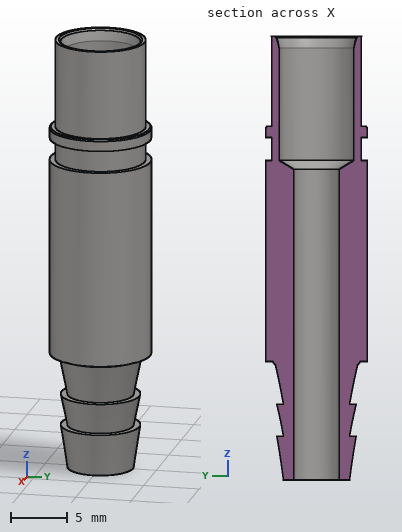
import cadquery as cq
import math

length = 39.05
body_radius = 4.5
stem_radius = 4.0

barb_tops = [3.85, 6.68]
neck_top = 10.1
body_bottom = 10.43
body_top = 28.1
collar_bottom = 30.1
collar_top = 31.12
collar_chamfer = 0.1

barb_root_radius = 2.93
barb_tip_radius = 3.5
neck_radius = 3.65
neck_flare_radius = 3.9

through_radius = 2.0
socket_radius = 3.28
mouth_top_radius = 3.5
mouth_depth = 1.0
rim_chamfer = 0.15
socket_floor = body_top
floor_cone_angle = 118.0


def barb_points():
    """Radius and height pairs of the barbs, from the hose end upward."""
    points = [(barb_root_radius, 0)]
    for top in barb_tops:
        points.append((barb_tip_radius, top))
        points.append((barb_root_radius, top))
    return points


def make_outside():
    """Barbs, body, collar and stem revolved about Z."""
    points = [
        (0, 0),
        *barb_points(),
        (neck_radius, neck_top),
        (neck_flare_radius, body_bottom),
        (body_radius, body_bottom),
        (body_radius, body_top),
        (stem_radius, body_top),
        (stem_radius, collar_bottom),
        (body_radius, collar_bottom),
        (body_radius, collar_top - collar_chamfer),
        (body_radius - collar_chamfer, collar_top),
        (stem_radius, collar_top),
        (stem_radius, length),
        (0, length),
    ]
    return cq.Workplane("XZ").polyline(points).close().revolve(360, (0, 0), (0, 1))


def make_bore():
    """The hollow inside, revolved about Z."""
    half_angle = math.radians(floor_cone_angle / 2)
    cone_depth = (socket_radius - through_radius) / math.tan(half_angle)
    mouth_bottom = length - mouth_depth
    points = [
        (0, 0),
        (through_radius, 0),
        (through_radius, socket_floor - cone_depth),
        (socket_radius, socket_floor),
        (socket_radius, mouth_bottom),
        (mouth_top_radius, length - rim_chamfer),
        (mouth_top_radius + rim_chamfer, length),
        (0, length),
    ]
    return cq.Workplane("XZ").polyline(points).close().revolve(360, (0, 0), (0, 1))


result = make_outside().cut(make_bore())